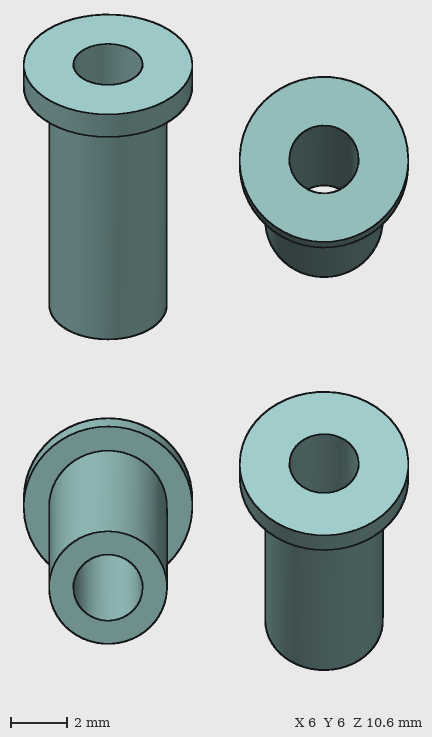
import cadquery as cq

total_height = 10.6
flange_diameter = 6.0
flange_thickness = 1.0
sleeve_diameter = 4.2
bore_diameter = 2.46

sleeve_height = total_height - flange_thickness

sleeve = cq.Workplane("XY").circle(sleeve_diameter / 2).extrude(sleeve_height)

flange = (
    cq.Workplane("XY")
    .workplane(offset=sleeve_height)
    .circle(flange_diameter / 2)
    .extrude(flange_thickness)
)

bore = cq.Workplane("XY").circle(bore_diameter / 2).extrude(total_height)

result = sleeve.union(flange).cut(bore)